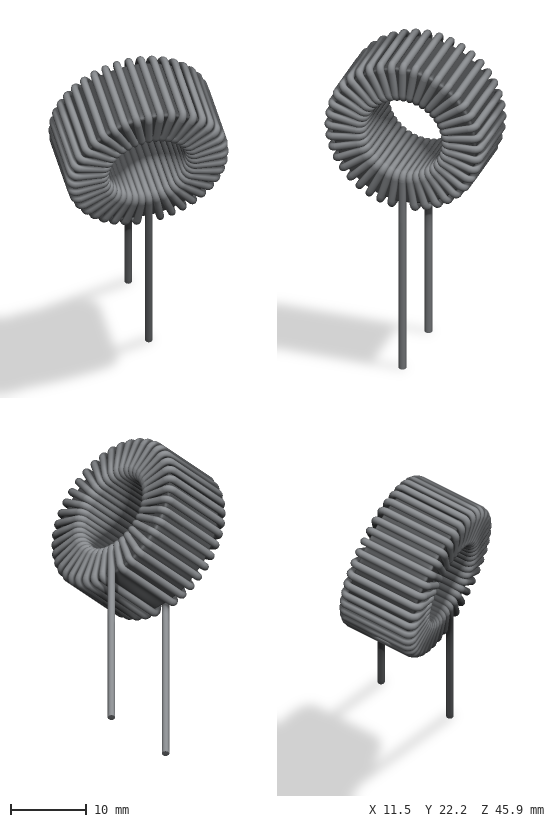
import cadquery as cq
import math


overall_width = 11.5
overall_height = 45.9
winding_outer_diameter = 22.2
winding_inner_radius = 5.3
wire_diameter = 1.0
core_edge_radius = 0.25
lead_start_depth = 12.58
turn_positions = 40

wire_radius = wire_diameter / 2
path_half_width = overall_width / 2 - wire_radius
path_outer_radius = winding_outer_diameter / 2 - wire_radius
path_inner_radius = winding_inner_radius + wire_radius
bend_radius = core_edge_radius + wire_radius
pitch_angle = 360 / turn_positions

core_width = overall_width - 2 * wire_diameter
core_outer_radius = path_outer_radius - wire_radius
core_inner_radius = path_inner_radius + wire_radius

lead_end_depth = overall_height - winding_outer_diameter / 2
lead_length = lead_end_depth - lead_start_depth

RIGHT = (1, 0)
LEFT = (-1, 0)
UP = (0, 1)
DOWN = (0, -1)


def make_core():
    """Ring on the X axis with all four circular edges rounded."""
    return (
        cq.Workplane("YZ", origin=(-core_width / 2, 0, 0))
        .circle(core_outer_radius)
        .circle(core_inner_radius)
        .extrude(core_width)
        .edges("%CIRCLE")
        .fillet(core_edge_radius)
    )


def wire_bend(path, corner_x, corner_z, start_direction, end_direction):
    """Add a quarter bend to a path in the XZ plane, replacing the sharp corner given."""
    arc_inset = bend_radius * (1 - math.sqrt(0.5))
    start_x, start_z = start_direction
    end_x, end_z = end_direction
    middle = (
        corner_x + arc_inset * (end_x - start_x),
        corner_z + arc_inset * (end_z - start_z),
    )
    end = (corner_x + bend_radius * end_x, corner_z + bend_radius * end_z)
    return path.threePointArc(middle, end)


def sweep_wire(path, start_x, start_z, plane):
    """Round wire swept along a path, with its first cross-section on the given plane."""
    return cq.Workplane(plane, origin=(start_x, 0, start_z)).circle(wire_radius).sweep(path)


def make_turn():
    """One closed turn at the top of the core, swept once around a rounded rectangle."""
    straight_end = path_half_width - bend_radius
    path = cq.Workplane("XZ").moveTo(-straight_end, path_inner_radius)
    path = path.lineTo(straight_end, path_inner_radius)
    path = wire_bend(path, path_half_width, path_inner_radius, RIGHT, UP)
    path = path.lineTo(path_half_width, path_outer_radius - bend_radius)
    path = wire_bend(path, path_half_width, path_outer_radius, UP, LEFT)
    path = path.lineTo(-straight_end, path_outer_radius)
    path = wire_bend(path, -path_half_width, path_outer_radius, LEFT, DOWN)
    path = path.lineTo(-path_half_width, path_inner_radius + bend_radius)
    path = wire_bend(path, -path_half_width, path_inner_radius, DOWN, RIGHT).close()
    return sweep_wire(path, -straight_end, path_inner_radius, "YZ")


def make_end_turn():
    """The open turn at the bottom: across the bore, then straight down both sides of the core."""
    path = cq.Workplane("XZ").moveTo(-path_half_width, -lead_start_depth)
    path = path.lineTo(-path_half_width, -path_inner_radius - bend_radius)
    path = wire_bend(path, -path_half_width, -path_inner_radius, UP, RIGHT)
    path = path.lineTo(path_half_width - bend_radius, -path_inner_radius)
    path = wire_bend(path, path_half_width, -path_inner_radius, RIGHT, DOWN)
    path = path.lineTo(path_half_width, -lead_start_depth)
    return sweep_wire(path, -path_half_width, -lead_start_depth, "XY")


def make_winding():
    """All turns as one continuous solid; neighbours merge where they crowd in the bore."""
    top_turn = make_turn().val()
    lowest_position = turn_positions // 2
    closed_turns = [
        top_turn.rotate((0, 0, 0), (1, 0, 0), position * pitch_angle)
        for position in range(turn_positions)
        if position != lowest_position
    ]
    merged_wire = make_end_turn().val().fuse(*closed_turns)
    return cq.Workplane(merged_wire).solids()


def make_lead(side):
    """Straight lead hanging from one wire end; side is -1 or 1 along X."""
    return (
        cq.Workplane("XY", origin=(side * path_half_width, 0, -lead_start_depth))
        .circle(wire_radius)
        .extrude(-lead_length)
    )


core = make_core()
winding = make_winding()
leads = [make_lead(side) for side in (-1, 1)]

result = cq.Compound.makeCompound([core.val(), winding.val(), *[lead.val() for lead in leads]])